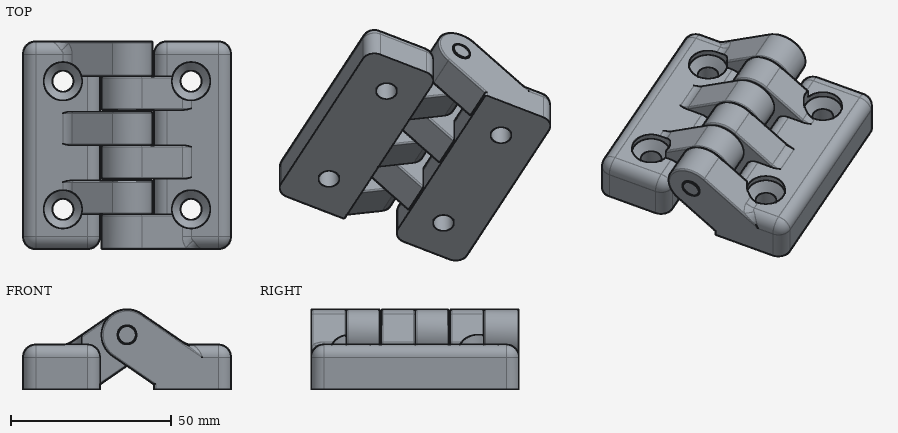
import cadquery as cq
import math

length = 64.9
overall_width = 65.0
leaf_gap = 16.8
leaf_height = 14.0
leaf_radius = 4.0

axis_height = 17.0
knuckle_radius = 8.0
arm_slope = math.radians(34.5)
root_radius = 5.0
edge_radius = 0.5
middle_knuckle_width = 10.5
knuckle_clearance = 0.5

pin_diameter = 6.0
pin_chamfer = 0.3

hole_spacing = 40.0
hole_diameter = 6.5
head_diameter = 12.0
head_depth = 2.0

leaf_inner_x = leaf_gap / 2
leaf_outer_x = overall_width / 2
half_length = length / 2
hole_offset = hole_spacing / 2
knuckle_top = axis_height + knuckle_radius

outer_knuckle_start = middle_knuckle_width + knuckle_clearance
end_knuckle_start = 2 * middle_knuckle_width + knuckle_clearance
end_span = (-half_length, -end_knuckle_start)
inner_spans = [(-middle_knuckle_width, 0.0), (outer_knuckle_start, end_knuckle_start)]

slant_distance = knuckle_radius / math.cos(arm_slope)


def slope_x(height):
    """Distance from the pin axis at which the sloping top of an arm comes down to a height."""
    return (axis_height + slant_distance - height) / math.tan(arm_slope)


root_x = slope_x(leaf_height)
tip_z = leaf_height - leaf_radius
tip_x = slope_x(tip_z)


def make_plate():
    width = leaf_outer_x - leaf_inner_x
    plate = cq.Workplane("XY").box(width, length, leaf_height, centered=(True, True, False))
    plate = plate.edges("|Z or >Z").fillet(leaf_radius)
    return plate.translate((leaf_inner_x + width / 2, 0, 0))


def start_arm_outline(y_end):
    """Open outline from the base, up the inner face and around the knuckle to the top of the slope."""
    tangent_x = knuckle_radius * math.sin(arm_slope)
    tangent_z = knuckle_radius * math.cos(arm_slope)
    underside_z = axis_height - slant_distance - leaf_inner_x * math.tan(arm_slope)
    return (
        cq.Workplane("XZ", origin=(0, y_end, 0))
        .moveTo(leaf_inner_x, 0)
        .lineTo(leaf_inner_x, underside_z)
        .lineTo(-tangent_x, axis_height - tangent_z)
        .threePointArc((-knuckle_radius, axis_height), (tangent_x, axis_height + tangent_z))
    )


def round_sides(arm, sides):
    """Round the outline of the chosen side faces, leaving the base and the buried end sharp."""
    exposed = cq.selectors.BoxSelector(
        (-overall_width, -length, edge_radius),
        (root_x, length, knuckle_top + edge_radius),
    )
    return arm.edges(exposed).edges(sides).fillet(edge_radius)


def make_sharp_root_arm(y_start, y_end, sides):
    """Arm whose slope runs straight down into the leaf."""
    outline = start_arm_outline(y_end).lineTo(tip_x, tip_z).lineTo(tip_x, 0).close()
    return round_sides(outline.extrude(y_end - y_start), sides)


def make_blended_arm(y_start, y_end):
    """Arm whose slope runs into the flat leaf top through a concave arc."""
    setback = root_radius * math.tan(arm_slope / 2)
    arc_start = (root_x - setback * math.cos(arm_slope), leaf_height + setback * math.sin(arm_slope))
    arc_end = (root_x + setback, leaf_height)
    arc_middle = (
        arc_end[0] - root_radius * math.sin(arm_slope / 2),
        leaf_height + root_radius * (1 - math.cos(arm_slope / 2)),
    )
    outline = start_arm_outline(y_end).lineTo(*arc_start).threePointArc(arc_middle, arc_end)
    outline = outline.lineTo(arc_end[0], 0).close()
    return round_sides(outline.extrude(y_end - y_start), "<Y or >Y")


def add_end_arm(plate, y_start, y_end):
    """Join the arm at the end of the leaf, blending its slope into the top and the rounded end edge."""
    core = make_sharp_root_arm(y_start, y_end - edge_radius, "<Y")
    root_zone = cq.selectors.BoxSelector(
        (root_x - edge_radius, y_start, tip_z),
        (tip_x, y_end, leaf_height + edge_radius),
    )
    blended = plate.union(core).edges(root_zone).edges("not #Y").fillet(root_radius)
    return blended.union(make_sharp_root_arm(y_start, y_end, "<Y or >Y"))


def make_screw_cutter():
    """Through hole, 90 degree countersink, and a head recess that also clears the arm above."""
    hole_radius = hole_diameter / 2
    head_radius = head_diameter / 2
    cone_top = leaf_height - head_depth
    cone_bottom = cone_top - (head_radius - hole_radius)
    return (
        cq.Workplane("XZ")
        .lineTo(hole_radius, 0)
        .lineTo(hole_radius, cone_bottom)
        .lineTo(head_radius, cone_top)
        .lineTo(head_radius, knuckle_top)
        .lineTo(0, knuckle_top)
        .close()
        .revolve(360, (0, 0), (0, 1))
    )


def make_right_half():
    half = add_end_arm(make_plate(), *end_span)
    for span in inner_spans:
        half = half.union(make_blended_arm(*span))
    for y in (-hole_offset, hole_offset):
        half = half.cut(make_screw_cutter().translate((hole_offset, y, 0)))
    return half


def make_pin_cylinder(diameter):
    cylinder = cq.Workplane("XZ", origin=(0, half_length, axis_height)).circle(diameter / 2)
    return cylinder.extrude(length)


def make_pin_grooves():
    """Material between the knuckle bore and the chamfered rim of the pin, at both ends."""
    bore = make_pin_cylinder(pin_diameter)
    pin = make_pin_cylinder(pin_diameter).faces("<Y or >Y").chamfer(pin_chamfer)
    return bore.cut(pin)


right_half = make_right_half()
left_half = right_half.rotate((0, 0, 0), (0, 0, 1), 180)
pin = make_pin_cylinder(pin_diameter)
result = right_half.union(left_half).union(pin).cut(make_pin_grooves())